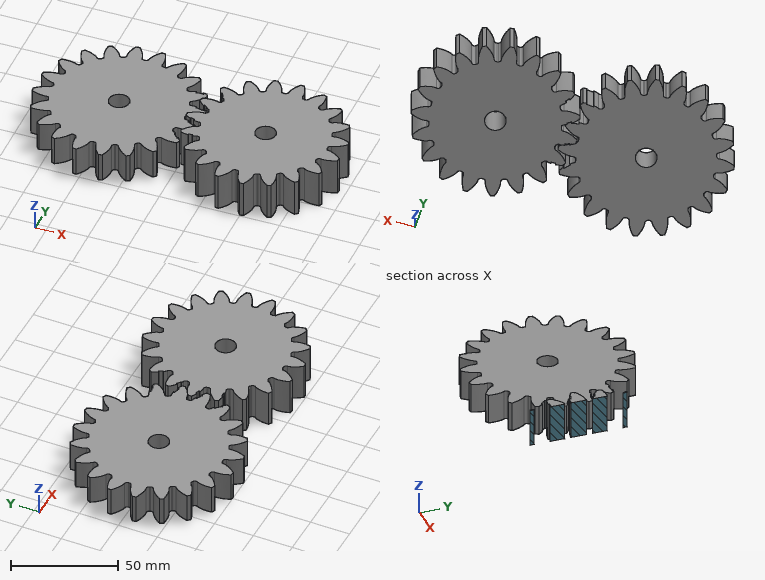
import cadquery as cq
import math

MODULE = 3.75
PRESSURE_ANGLE = math.radians(25)
ADDENDUM = MODULE
DEDENDUM = 1.25 * MODULE
ROOT_FILLET = 0.38 * MODULE
FLANK_STEPS = 10

BORE_DIAMETER = 10.0

WHEEL_TEETH = 20
WHEEL_WIDTH = 15.0
PINION_TEETH = 19
PINION_WIDTH = 19.0
CENTER_DISTANCE = MODULE * (WHEEL_TEETH + PINION_TEETH) / 2

WHEEL_PHASE = math.pi / WHEEL_TEETH
PINION_PHASE = math.pi

RELIEF_DEPTH = 0.7
WHEEL_RELIEF_LENGTH = 3.5
WHEEL_RELIEF_SHIFTS = {-2: -0.1, -1: 0.0, 0: 0.5, 1: 0.8}
PINION_RELIEF_LENGTH = 2.1
PINION_RELIEF_SHIFTS = {-2: -0.25, -1: -1.2, 0: 0.25, 1: -0.45}


def polar(radius, angle):
    return (radius * math.cos(angle), radius * math.sin(angle))


def involute(angle):
    """Polar angle swept by an involute where its pressure angle is `angle`."""
    return math.tan(angle) - angle


def roll_angle(radius, base_radius):
    """Angle unrolled from the base circle when an involute reaches `radius`."""
    return math.sqrt((radius / base_radius) ** 2 - 1)


def gear_outline(teeth, phase):
    """Closed outline of involute teeth; `phase` is the direction of tooth 0."""
    pitch_radius = MODULE * teeth / 2
    base_radius = pitch_radius * math.cos(PRESSURE_ANGLE)
    tip_radius = pitch_radius + ADDENDUM
    root_radius = pitch_radius - DEDENDUM
    tooth_step = 2 * math.pi / teeth

    base_half_angle = tooth_step / 4 + involute(PRESSURE_ANGLE)

    fillet_offset = ROOT_FILLET / base_radius
    fillet_center_radius = root_radius + ROOT_FILLET
    fillet_roll = roll_angle(fillet_center_radius, base_radius)
    fillet_half_angle = base_half_angle + fillet_offset - involute(math.atan(fillet_roll))

    start_roll = fillet_roll - fillet_offset
    roll_step = (roll_angle(tip_radius, base_radius) - start_roll) / FLANK_STEPS
    flank = []
    for step in range(FLANK_STEPS + 1):
        roll = start_roll + step * roll_step
        radius = base_radius * math.sqrt(1 + roll**2)
        flank.append((radius, base_half_angle - involute(math.atan(roll))))

    def fillet_middle(direction, side):
        """Point halfway round the root fillet on one side (-1 or +1) of a tooth."""
        center_angle = direction + side * fillet_half_angle
        center = cq.Vector(*polar(fillet_center_radius, center_angle))
        root_end = cq.Vector(*polar(root_radius, center_angle))
        flank_end = cq.Vector(*polar(flank[0][0], direction + side * flank[0][1]))
        bisector = ((root_end - center) + (flank_end - center)).normalized()
        middle = center + bisector * ROOT_FILLET
        return (middle.x, middle.y)

    outline = cq.Workplane("XY").moveTo(*polar(root_radius, phase - fillet_half_angle))
    for tooth in range(teeth):
        center = phase + tooth * tooth_step
        rising = [polar(radius, center - angle) for radius, angle in flank]
        falling = [polar(radius, center + angle) for radius, angle in reversed(flank)]
        next_gap = center + tooth_step / 2
        next_tooth_start = center + tooth_step - fillet_half_angle
        outline = (
            outline.threePointArc(fillet_middle(center, -1), rising[0])
            .spline(rising[1:], includeCurrent=True)
            .threePointArc(polar(tip_radius, center), falling[0])
            .spline(falling[1:], includeCurrent=True)
            .threePointArc(
                fillet_middle(center, 1), polar(root_radius, center + fillet_half_angle)
            )
            .threePointArc(polar(root_radius, next_gap), polar(root_radius, next_tooth_start))
        )
    return outline.close()


def relief_cutters(teeth, width, phase, length, shifts):
    """Bars that groove the counter-clockwise flank of the relieved teeth."""
    pitch_radius = MODULE * teeth / 2
    tooth_step = 2 * math.pi / teeth
    cutters = []
    for tooth, shift in shifts.items():
        pitch_angle = phase + (tooth + 1 / 4) * tooth_step
        lean = math.degrees(pitch_angle - PRESSURE_ANGLE)
        bar = (
            cq.Workplane("XY")
            .center(shift, 0)
            .rect(length, 2 * RELIEF_DEPTH)
            .extrude(width)
            .rotate((0, 0, 0), (0, 0, 1), lean)
            .translate((*polar(pitch_radius, pitch_angle), 0))
        )
        cutters.append(bar)
    return cutters


def spur_gear(teeth, width, phase, relief_length, relief_shifts):
    """Bored spur gear on the Z axis with its mid-plane on Z = 0."""
    gear = gear_outline(teeth, phase).extrude(width)
    gear = gear.cut(cq.Workplane("XY").circle(BORE_DIAMETER / 2).extrude(width))
    for cutter in relief_cutters(teeth, width, phase, relief_length, relief_shifts):
        gear = gear.cut(cutter)
    return gear.translate((0, 0, -width / 2))


wheel = spur_gear(
    WHEEL_TEETH, WHEEL_WIDTH, WHEEL_PHASE, WHEEL_RELIEF_LENGTH, WHEEL_RELIEF_SHIFTS
)
pinion = spur_gear(
    PINION_TEETH, PINION_WIDTH, PINION_PHASE, PINION_RELIEF_LENGTH, PINION_RELIEF_SHIFTS
).translate((CENTER_DISTANCE, 0, 0))

result = cq.Compound.makeCompound([wheel.val(), pinion.val()])